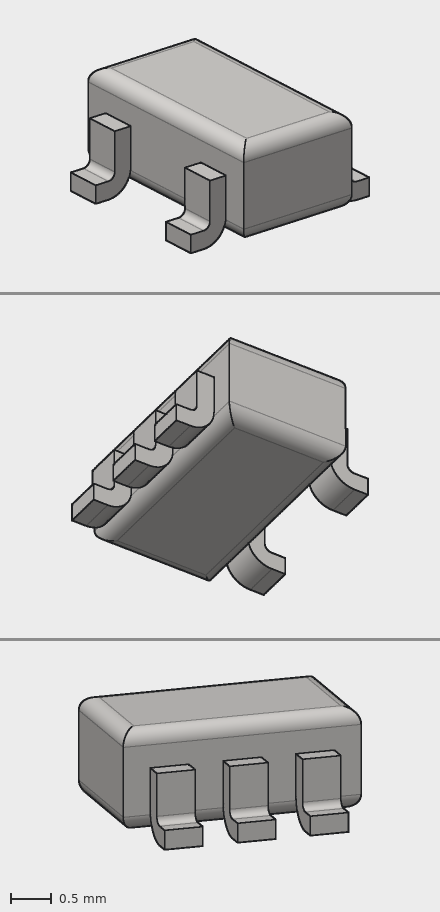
import cadquery as cq
import math

body_length = 3.1
total_width = 2.8
total_height = 1.4

body_width = 1.7
standoff = 0.1
body_height = total_height - standoff
edge_radius = 0.2

lead_width = 0.5
lead_pitch = 0.95
lead_thickness = 0.25
lead_height = 0.9
inner_bend_radius = 0.1
outer_bend_radius = inner_bend_radius + lead_thickness
lead_reach = (total_width - body_width) / 2


def make_housing():
    """Block with rounded top and bottom edges that meet in mitred corners."""
    block = cq.Workplane("XY").box(body_length, body_width, body_height)
    lengthwise = block.edges("|X").fillet(edge_radius)
    crosswise = block.edges("|Y").fillet(edge_radius)
    rounded_block = lengthwise.intersect(crosswise).solids()
    return rounded_block.translate((0, 0, standoff + body_height / 2))


def make_lead(x_center):
    """Lead on the +Y side: upright against the housing, bent outward into a flat foot."""
    wall_y = body_width / 2
    outer_face_y = wall_y + lead_thickness
    toe_y = wall_y + lead_reach
    bend_y = wall_y + outer_bend_radius
    bend_z = outer_bend_radius
    diagonal = math.sqrt(0.5)
    inner_mid = inner_bend_radius * diagonal
    outer_mid = outer_bend_radius * diagonal
    return (
        cq.Workplane("YZ", origin=(x_center - lead_width / 2, 0, 0))
        .moveTo(wall_y, lead_height)
        .lineTo(outer_face_y, lead_height)
        .lineTo(outer_face_y, bend_z)
        .threePointArc((bend_y - inner_mid, bend_z - inner_mid), (bend_y, lead_thickness))
        .lineTo(toe_y, lead_thickness)
        .lineTo(toe_y, 0)
        .lineTo(bend_y, 0)
        .threePointArc((bend_y - outer_mid, bend_z - outer_mid), (wall_y, bend_z))
        .close()
        .extrude(lead_width)
    )


housing = make_housing()

back_leads = [make_lead(x) for x in (-lead_pitch, 0, lead_pitch)]
front_leads = [make_lead(x).mirror("XZ") for x in (-lead_pitch, lead_pitch)]
leads = back_leads + front_leads

result = cq.Compound.makeCompound([housing.val(), *[lead.val() for lead in leads]])